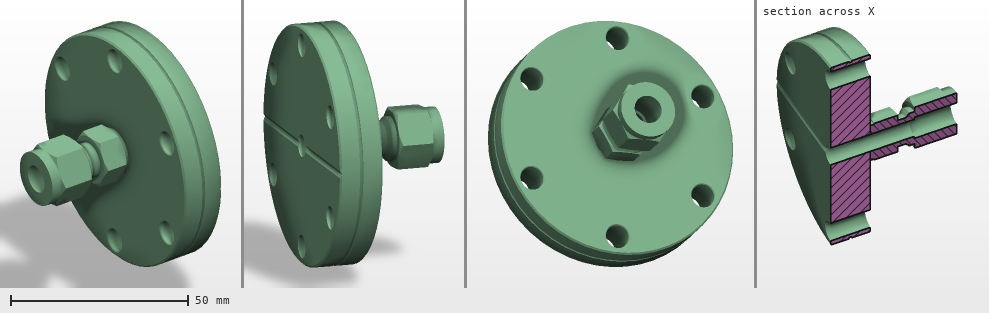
import cadquery as cq
import math


FLANGE_DIA = 69.1
FLANGE_THICKNESS = 12.7
EDGE_CHAMFER = 0.5
RIM_GROOVE_STATION = FLANGE_THICKNESS / 2
RIM_GROOVE_RADIUS = 0.5
BOLT_COUNT = 6
BOLT_CIRCLE_DIA = 58.75
BOLT_HOLE_DIA = 6.7
BOLT_CHAMFER_DIA = 7.25
NOTCH_WIDTH = 2.1
NOTCH_DEPTH = 0.7

BORE_DIA = 6.4
TUBE_SOCKET_DIA = 8.0

COLLAR_DIA = 13.7
NECK_DIA = 10.35
SHOULDER_DIA = 12.7
BODY_HEX_FLATS = 14.3
NUT_DIA = 16.0
NUT_HEX_FLATS = NUT_DIA
HEX_CHAMFER_ANGLE = 30.0

BODY_HEX_START = 13.75
BODY_HEX_END = 21.3
CONE_START = 23.8
CONE_END = CONE_START + (SHOULDER_DIA - NECK_DIA) / 2
NUT_START = 26.45
NUT_HEX_END = 36.75
FITTING_END = 39.9


def plane_at(station):
    """Plane across the axis at a station, with its normal toward -Y."""
    return cq.Workplane("XZ", origin=(0, -station, 0))


def cylinder(diameter, start, end):
    """Cylinder on the axis between two stations."""
    return plane_at(start).circle(diameter / 2).extrude(end - start)


def revolve_profile(points):
    """Solid of revolution from (radius, station) points."""
    outline = [(radius, -station) for radius, station in points]
    return cq.Workplane("XY").polyline(outline).close().revolve(360, (0, 0), (0, 1))


def chamfered_hex(flats, start, end):
    """Hexagon with corners on the X axis and conical chamfers at both ends."""
    corner_dia = flats / math.cos(math.pi / 6)
    prism = plane_at(start).polygon(6, corner_dia).extrude(end - start)
    corner = corner_dia / 2
    end_radius = flats / 2
    chamfer = (corner - end_radius) * math.tan(math.radians(HEX_CHAMFER_ANGLE))
    envelope = revolve_profile([
        (0, start),
        (end_radius, start),
        (corner, start + chamfer),
        (corner, end - chamfer),
        (end_radius, end),
        (0, end),
    ])
    return prism.intersect(envelope)


def flange_disc():
    """Disc with a chamfer on each outer edge and a round groove in the rim."""
    radius = FLANGE_DIA / 2
    disc = revolve_profile([
        (0, 0),
        (radius - EDGE_CHAMFER, 0),
        (radius, EDGE_CHAMFER),
        (radius, FLANGE_THICKNESS - EDGE_CHAMFER),
        (radius - EDGE_CHAMFER, FLANGE_THICKNESS),
        (0, FLANGE_THICKNESS),
    ])
    groove = (
        cq.Workplane("XY", origin=(radius, -RIM_GROOVE_STATION, 0))
        .circle(RIM_GROOVE_RADIUS)
        .revolve(360, (-radius, 0), (-radius, 1))
    )
    return disc.cut(groove)


def bolt_holes():
    """Ring of through holes, each chamfered at the front face."""
    hole_radius = BOLT_HOLE_DIA / 2
    mouth_radius = BOLT_CHAMFER_DIA / 2
    hole = revolve_profile([
        (0, 0),
        (hole_radius, 0),
        (hole_radius, FLANGE_THICKNESS - (mouth_radius - hole_radius)),
        (mouth_radius, FLANGE_THICKNESS),
        (0, FLANGE_THICKNESS),
    ]).translate((0, 0, BOLT_CIRCLE_DIA / 2))
    holes = cq.Workplane("XY")
    for index in range(BOLT_COUNT):
        angle = index * 360 / BOLT_COUNT
        holes = holes.add(hole.rotate((0, 0, 0), (0, 1, 0), angle))
    return holes.combine()


def back_notch():
    """V notch running straight across the back face along X."""
    half_width = NOTCH_WIDTH / 2
    return (
        cq.Workplane("YZ", origin=(-FLANGE_DIA / 2, 0, 0))
        .polyline([(0, -half_width), (-NOTCH_DEPTH, 0), (0, half_width)])
        .close()
        .extrude(FLANGE_DIA)
    )


def make_flange():
    """Bolted flange with the plain bore through its centre."""
    bore = cylinder(BORE_DIA, 0, FLANGE_THICKNESS)
    return flange_disc().cut(bore).cut(bolt_holes()).cut(back_notch())


def make_fitting():
    """Tube fitting standing on the flange: collar, hexagon, neck and nut."""
    neck = revolve_profile([
        (0, BODY_HEX_END),
        (NECK_DIA / 2, BODY_HEX_END),
        (NECK_DIA / 2, CONE_START),
        (SHOULDER_DIA / 2, CONE_END),
        (SHOULDER_DIA / 2, NUT_START),
        (0, NUT_START),
    ])
    bore = cylinder(BORE_DIA, FLANGE_THICKNESS, FITTING_END)
    tube_socket = cylinder(TUBE_SOCKET_DIA, NUT_START, FITTING_END)
    return (
        cylinder(COLLAR_DIA, FLANGE_THICKNESS, BODY_HEX_START)
        .union(chamfered_hex(BODY_HEX_FLATS, BODY_HEX_START, BODY_HEX_END))
        .union(neck)
        .union(chamfered_hex(NUT_HEX_FLATS, NUT_START, NUT_HEX_END))
        .union(cylinder(NUT_DIA, NUT_HEX_END, FITTING_END))
        .cut(bore)
        .cut(tube_socket)
    )


flange = make_flange()
fitting = make_fitting()

result = cq.Compound.makeCompound([flange.solids().val(), fitting.solids().val()])